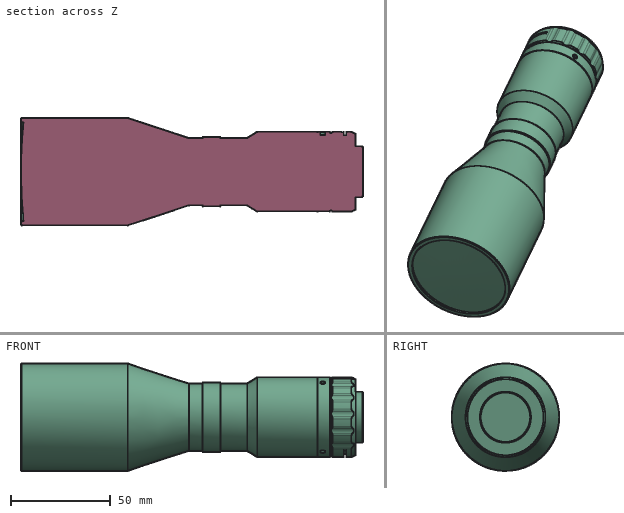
import cadquery as cq
import math


length = 171.6
hood_end = 53.5
waist_start = 84.1
band_start = 91.0
band_end = 100.2
flare_start = 113.5
body_start = 118.5
collar_start = 148.8
collar_end = 154.8
grip_start = 156.4
grip_chamfer_start = 165.8
grip_end = 167.9

hood_radius = 54.0 / 2
waist_radius = 17.0
band_radius = 17.5
body_radius = 20.0
grip_end_radius = body_radius - 1.0
tube_radius = 12.9

rim_chamfer = 0.3
lens_radius = 24.7
lens_recess = 1.2

band_chamfer = 0.3
tube_chamfer = 0.5

gap_middle = (collar_end + grip_start) / 2
gap_depth = 0.7

joint_width = 0.3
joint_depth = 0.09

flute_count = 7
flute_pitch = 25.0
flute_middle_angle = 60.0
flute_depth = 0.6
flute_radius = 3.3
flute_lip_radius = 2.2

slit_middle = 162.5
slit_width = 1.0
slit_depth = 1.5
slit_overrun = 1.2

screw_count = 3
screw_first_angle = 30.0
screw_station = 151.4
screw_diameter = 2.4
screw_depth = 1.5


def around_axis(shape, angle):
    """Shape turned about the barrel axis by the given angle."""
    return shape.rotate((0, 0, 0), (1, 0, 0), angle)


def turned_barrel():
    """Solid of revolution with every step, cone and chamfer of the barrel."""
    lens_sphere_radius = (lens_radius**2 + lens_recess**2) / (2 * lens_recess)
    lens_mid_sag = lens_sphere_radius - math.sqrt(lens_sphere_radius**2 - (lens_radius / 2) ** 2)
    return (
        cq.Workplane("XY")
        .threePointArc((lens_mid_sag, lens_radius / 2), (lens_recess, lens_radius))
        .lineTo(0, lens_radius)
        .lineTo(0, hood_radius - rim_chamfer)
        .lineTo(rim_chamfer, hood_radius)
        .lineTo(hood_end, hood_radius)
        .lineTo(waist_start, waist_radius)
        .lineTo(band_start, waist_radius)
        .lineTo(band_start, band_radius - band_chamfer)
        .lineTo(band_start + band_chamfer, band_radius)
        .lineTo(band_end - band_chamfer, band_radius)
        .lineTo(band_end, band_radius - band_chamfer)
        .lineTo(band_end, waist_radius)
        .lineTo(flare_start, waist_radius)
        .lineTo(body_start, body_radius)
        .lineTo(collar_end, body_radius)
        .lineTo(gap_middle, body_radius - gap_depth)
        .lineTo(grip_start, body_radius)
        .lineTo(grip_chamfer_start, body_radius)
        .lineTo(grip_end, grip_end_radius)
        .lineTo(grip_end, tube_radius)
        .lineTo(length - tube_chamfer, tube_radius)
        .lineTo(length, tube_radius - tube_chamfer)
        .lineTo(length, 0)
        .close()
        .revolve(360, (0, 0, 0), (1, 0, 0))
    )


def joint_line(station, radius):
    """Ring that cuts a V-shaped joint line into a cylinder of the given radius."""
    return (
        cq.Workplane("XY")
        .moveTo(station - joint_width / 2, radius)
        .lineTo(station, radius - joint_depth)
        .lineTo(station + joint_width / 2, radius)
        .close()
        .revolve(360, (0, 0, 0), (1, 0, 0))
    )


def flute_cutter():
    """Bar along X at angle 0: a concave flute blended into the grip by a rounded lip on each side."""
    flute_centre = body_radius - flute_depth + flute_radius
    lip_centre = body_radius - flute_lip_radius
    lip_angle = math.acos(
        (lip_centre**2 + flute_centre**2 - (flute_lip_radius + flute_radius) ** 2)
        / (2 * lip_centre * flute_centre)
    )
    lip_y = lip_centre * math.sin(lip_angle)
    lip_z = lip_centre * math.cos(lip_angle)
    lip_slope = math.atan2(lip_y, flute_centre - lip_z)
    meet_y = lip_y - flute_lip_radius * math.sin(lip_slope)
    meet_z = lip_z + flute_lip_radius * math.cos(lip_slope)
    middle_slope = (lip_slope - lip_angle) / 2
    middle_y = lip_y - flute_lip_radius * math.sin(middle_slope)
    middle_z = lip_z + flute_lip_radius * math.cos(middle_slope)
    start_y = body_radius * math.sin(lip_angle)
    start_z = body_radius * math.cos(lip_angle)
    top_z = body_radius + flute_radius
    return (
        cq.Workplane("YZ", origin=(gap_middle, 0, 0))
        .moveTo(-start_y, start_z)
        .threePointArc((-middle_y, middle_z), (-meet_y, meet_z))
        .threePointArc((0, body_radius - flute_depth), (meet_y, meet_z))
        .threePointArc((middle_y, middle_z), (start_y, start_z))
        .lineTo(start_y, top_z)
        .lineTo(-start_y, top_z)
        .close()
        .extrude(grip_end - gap_middle)
    )


def slit_cutter():
    """Thin half ring on the side away from the flutes, running slightly past the half."""
    clearance = 1.7
    outer_radius = body_radius + clearance
    ring = (
        cq.Workplane("YZ", origin=(slit_middle - slit_width / 2, 0, 0))
        .circle(outer_radius)
        .circle(body_radius - slit_depth)
        .extrude(slit_width)
    )
    plain_side = (
        cq.Workplane("XY", origin=(slit_middle, 0, slit_overrun))
        .rect(2 * slit_width, 2 * outer_radius)
        .extrude(-2 * outer_radius)
    )
    return ring.intersect(around_axis(plain_side, flute_middle_angle))


def screw_hole_cutter():
    """Blind radial hole at angle 0."""
    return (
        cq.Workplane("XY", origin=(screw_station, 0, body_radius - screw_depth))
        .circle(screw_diameter / 2)
        .extrude(2 * screw_depth)
    )


result = turned_barrel()
result = result.cut(joint_line(waist_start + joint_width / 2, waist_radius))
result = result.cut(joint_line(collar_start, body_radius))

flute = flute_cutter()
for index in range(flute_count):
    offset = index - (flute_count - 1) / 2
    result = result.cut(around_axis(flute, flute_middle_angle + offset * flute_pitch))

result = result.cut(slit_cutter())

screw_hole = screw_hole_cutter()
for index in range(screw_count):
    result = result.cut(around_axis(screw_hole, screw_first_angle + index * 360 / screw_count))